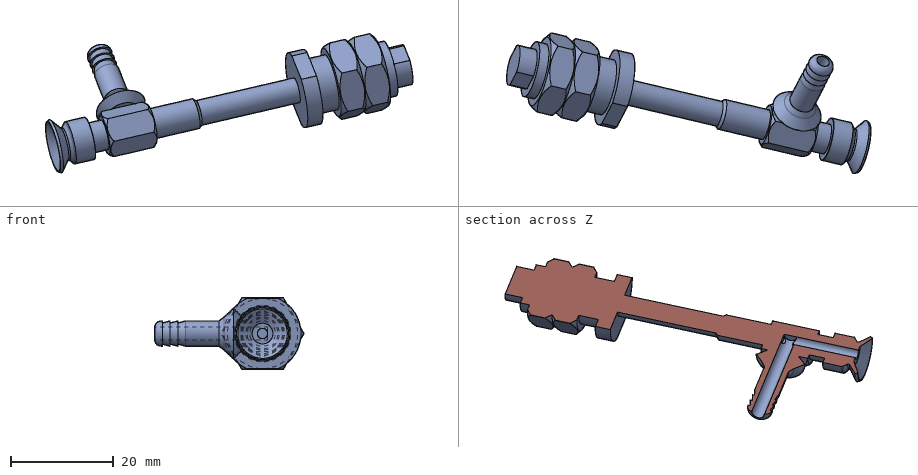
import cadquery as cq
import math

length = 72.0

stub_diameter = 8.0
stub_flats = 7.0
stub_length = 3.5
barrel_diameter = 11.0
flange_diameter = 15.0
flange_flats = 13.6
flange_front = 49.5
flange_back = 52.6
barrel_back = length - stub_length

nut_count = 2
nut_flats = 14.0
nut_thickness = 5.05
nuts_back = 66.6
nut_face_radius = 6.85
nut_chamfer_height = 1.0
nut_turn = 0

rod_diameter = 5.0
sleeve_diameter = 6.0
sleeve_back = 29.6
sleeve_chamfer_length = 0.6

body_flats = 8.0
body_front = 10.45
body_back = 20.0
body_face_radius = 3.9
body_chamfer_height = 0.7
body_turn = 30

collar_diameter = 8.5
collar_front = 3.25
collar_back = 7.4
collar_front_bevel = 0.2
collar_back_bevel = 0.1
cup_neck_radius = 3.25
cup_neck_back = 2.6
cup_neck_front = 2.2
cup_rim_radius = 5.3
cup_rim_width = 0.5
cup_mouth_radius = 4.8
cup_floor_diameter = 4.0
cup_depth = 1.65
cup_hole_diameter = 2.0

barb_y = 15.5
barb_tip = -21.0
barb_radius = rod_diameter / 2
barb_bore_diameter = 2.5
barb_tip_radius = 1.3
barb_root_radius = 2.1
barb_pitch = 1.5
barb_groove_count = 3
shoulder_radius = 3.25
shoulder_start = -8.5
shoulder_end = -7.5
cone_radius = 5.0
cone_peak = -5.7
cone_end = -body_flats / 2


def cylinder(diameter, y_front, y_back):
    """Round bar along the stem axis."""
    bar = cq.Workplane("XZ", origin=(0, y_front, 0)).circle(diameter / 2)
    return bar.extrude(y_front - y_back)


def flatted_disc(diameter, flats, y_front, y_back):
    """Round bar along the stem with two flats facing +Z and -Z."""
    middle = (y_front + y_back) / 2
    slab = cq.Workplane("XY").box(diameter, y_back - y_front, flats).translate((0, middle, 0))
    return cylinder(diameter, y_front, y_back).intersect(slab)


def revolve_about_stem(points):
    """Turn a closed outline of (radius, y) points about the stem axis."""
    return cq.Workplane("XY").polyline(points).close().revolve(360, (0, 0, 0), (0, 1, 0))


def chamfered_hexagon(flats, y_front, y_back, face_radius, chamfer_height, turn_degrees):
    """Hexagonal prism along the stem whose corners are cut by a cone at both ends.

    Without a turn two corners lie on the X axis; a 30 degree turn puts two corners on Z.
    """
    corner_radius = flats / math.sqrt(3)
    prism = (
        cq.Workplane("XZ", origin=(0, y_front, 0))
        .polygon(6, 2 * corner_radius)
        .extrude(y_front - y_back)
        .rotate((0, 0, 0), (0, 1, 0), turn_degrees)
    )
    envelope = revolve_about_stem([
        (0, y_front),
        (face_radius, y_front),
        (corner_radius, y_front + chamfer_height),
        (corner_radius, y_back - chamfer_height),
        (face_radius, y_back),
        (0, y_back),
    ])
    return prism.intersect(envelope)


def lock_nuts():
    """Equal nuts face to face, with corners on the X axis."""
    nuts = cq.Workplane("XY")
    for index in range(nut_count):
        back = nuts_back - index * nut_thickness
        nut = chamfered_hexagon(
            nut_flats, back - nut_thickness, back, nut_face_radius, nut_chamfer_height, nut_turn
        )
        nuts = nuts.union(nut)
    return nuts


def stem():
    """Rod and sleeve, with the sleeve tapering down to the rod."""
    rod_radius = rod_diameter / 2
    sleeve_radius = sleeve_diameter / 2
    return revolve_about_stem([
        (0, collar_back),
        (sleeve_radius, collar_back),
        (sleeve_radius, sleeve_back - sleeve_chamfer_length),
        (rod_radius, sleeve_back),
        (rod_radius, flange_front),
        (0, flange_front),
    ])


def suction_cup():
    """Bevelled collar tapering to a neck, then a flared cup with a conical recess."""
    collar_radius = collar_diameter / 2
    return revolve_about_stem([
        (0, collar_back),
        (collar_radius - collar_back_bevel, collar_back),
        (collar_radius, collar_back - collar_back_bevel),
        (collar_radius, collar_front + collar_front_bevel),
        (collar_radius - collar_front_bevel, collar_front),
        (cup_neck_radius, cup_neck_back),
        (cup_neck_radius, cup_neck_front),
        (cup_rim_radius, cup_rim_width),
        (cup_rim_radius - cup_rim_width / 2, 0),
        (cup_mouth_radius, 0),
        (cup_floor_diameter / 2, cup_depth),
        (0, cup_depth),
    ])


def hose_barb():
    """Side nozzle with a rounded tip, barbs, a tapered shoulder and a double cone meeting the body."""
    first_edge = barb_tip + barb_pitch
    arc_middle = math.sqrt(0.5)
    outline = (
        cq.Workplane("XY")
        .moveTo(barb_tip, 0)
        .lineTo(barb_tip, barb_tip_radius)
        .threePointArc(
            (
                first_edge - arc_middle * barb_pitch,
                barb_tip_radius + arc_middle * (barb_radius - barb_tip_radius),
            ),
            (first_edge, barb_radius),
        )
    )
    for index in range(barb_groove_count):
        edge = first_edge + index * barb_pitch
        outline = outline.lineTo(edge, barb_root_radius).lineTo(edge + barb_pitch, barb_radius)
    cone_end_radius = cone_radius - (cone_end - cone_peak)
    nozzle = (
        outline
        .lineTo(shoulder_start, barb_radius)
        .lineTo(shoulder_end, shoulder_radius)
        .lineTo(cone_peak, cone_radius)
        .lineTo(cone_end, cone_end_radius)
        .lineTo(cone_end, 0)
        .close()
        .revolve(360, (0, 0, 0), (1, 0, 0))
    )
    return nozzle.translate((0, barb_y, 0))


def air_passage():
    """Bore from the barb tip meeting the bore from the cup inside the body."""
    bore_end = cup_hole_diameter / 2
    barb_bore = (
        cq.Workplane("YZ", origin=(barb_tip, barb_y, 0))
        .circle(barb_bore_diameter / 2)
        .extrude(bore_end - barb_tip)
    )
    return barb_bore.union(cylinder(cup_hole_diameter, 0, barb_y + barb_bore_diameter / 2))


result = (
    stem()
    .union(flatted_disc(flange_diameter, flange_flats, flange_front, flange_back))
    .union(cylinder(barrel_diameter, flange_back, barrel_back))
    .union(flatted_disc(stub_diameter, stub_flats, barrel_back, length))
    .union(lock_nuts())
    .union(chamfered_hexagon(
        body_flats, body_front, body_back, body_face_radius, body_chamfer_height, body_turn
    ))
    .union(suction_cup())
    .union(hose_barb())
    .cut(air_passage())
)